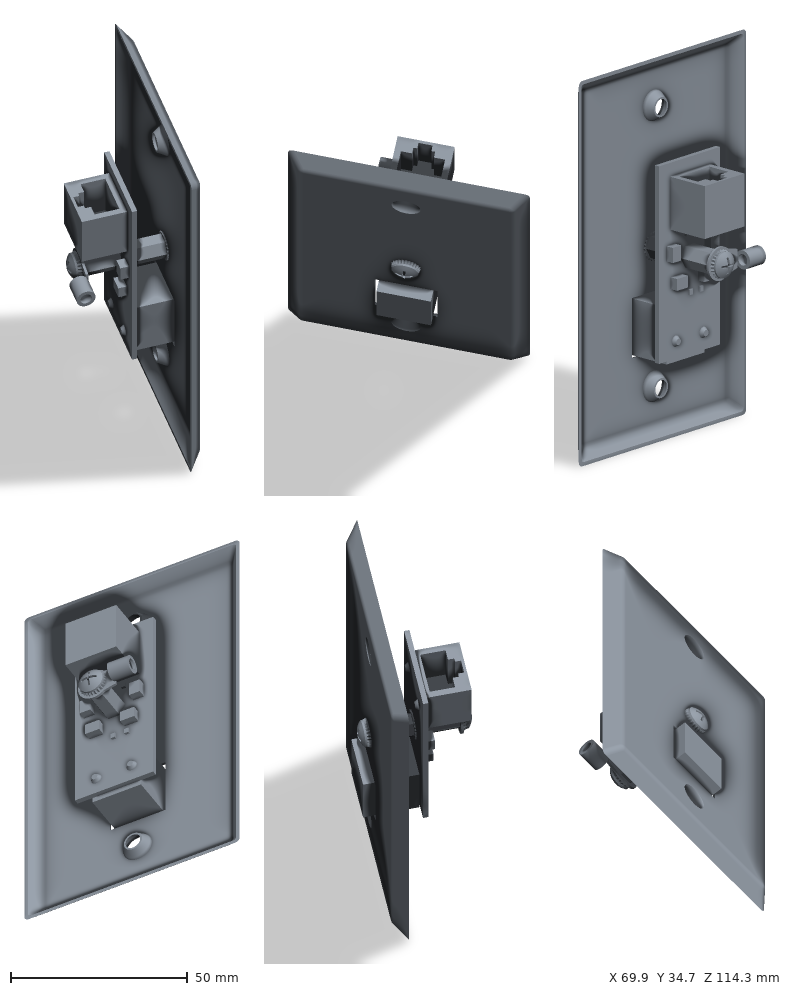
import cadquery as cq
import math


overall_depth = 34.71

plate_width = 69.86
plate_height = 114.3
plate_depth = 4.15
sheet = 0.8
bend_radius = 2.3
mount_spacing = 83.34
mount_hole_radius = 2.37
dimple_base_radius = 4.6
dimple_rim_radius = 2.95
dimple_height = 2.8
sink_mouth_radius = dimple_base_radius - sheet / 2

board_width = 25.4
board_height = 58.6
board_thickness = 1.55
board_rear_y = -13.05
board_front_y = board_rear_y - board_thickness
chip_short = 3.5
chip_long = 4.5
chip_height = 2.55
upper_chip_x = 8.0
upper_chip_z = 2.7
lower_chip_x = 5.68
lower_chip_z = -6.43
tiny_width = 1.3
tiny_length = 1.6
tiny_height = 0.75
tiny_places = [(-1.45, 7.05), (3.28, 7.05), (0.0, -10.7), (4.36, -10.7)]

front_jack_width = 16.5
front_jack_height = 15.7
front_jack_depth = 13.5
front_jack_z = 17.4
socket_depth = 12.5
socket_offset = 1.75
socket_steps = [(12.8, 7.35), (6.3, 1.8), (4.1, 1.75)]
rear_jack_width = 15.75
rear_jack_height = 16.8
rear_jack_z = -22.5
jack_opening_width = 18.1
jack_opening_margin = 0.6
peg_length = 1.1
peg_base_radius = 1.65
peg_tip_radius = 0.95
front_peg_x = 6.4
front_peg_z = 19.7
rear_peg_x = 5.75
rear_peg_z = -24.1

shank_radius = 1.75
shank_engagement = 5.0
thread_hole_depth = 7.0
head_radius = 3.9
head_height = 3.3
dome_height = 1.6
collar_thickness = 1.1
cross_length = 4.9
cross_width = 0.8
cross_depth = 1.4
tooth_count = 24
tooth_tip_radius = 4.35
tooth_root_radius = 3.9
washer_thickness = 0.45
hex_across_flats = 6.35
hex_across_corners = hex_across_flats / math.cos(math.pi / 6)
lug_y = -25.8
lug_thickness = 0.75
lug_ring_radius = 5.0
lug_neck_start_x = 3.2
lug_neck_start_half = 3.75
barrel_start_x = 7.05
barrel_end_x = 13.7
barrel_radius = (overall_depth - head_height + lug_y) / 2
barrel_bore_radius = 1.7


def box(width, depth, height, x, front_y, z):
    """Block centred on x and z whose -Y face is at front_y."""
    return cq.Workplane("XY").box(width, depth, height).translate((x, front_y + depth / 2, z))


def cylinder(radius, start_y, end_y, x=0.0, z=0.0):
    """Cylinder along Y from start_y toward the smaller end_y."""
    return cq.Workplane("XZ", origin=(x, start_y, z)).circle(radius).extrude(start_y - end_y)


def cone(start_radius, end_radius, start_y, end_y, x=0.0, z=0.0):
    """Truncated cone along Y."""
    profile = [(0, start_y), (start_radius, start_y), (end_radius, end_y), (0, end_y)]
    return cq.Workplane("XY").polyline(profile).close().revolve(360, (0, 0), (0, 1)).translate((x, 0, z))


def tray_block(width, height, front_y, rear_y, radius):
    """Frustum with 45 degree sides, rounded everywhere but at its wide front edge."""
    shrink = 2 * (rear_y - front_y)
    block = (
        cq.Workplane("XZ", origin=(0, front_y, 0))
        .rect(width, height)
        .workplane(offset=front_y - rear_y)
        .rect(width - shrink, height - shrink)
        .loft(ruled=True)
    )
    return block.edges("not(<Y)").fillet(radius)


def make_plate():
    lip = sheet * math.sqrt(2)
    plate = tray_block(plate_width, plate_height, -plate_depth, 0, bend_radius)
    plate = plate.cut(
        tray_block(
            plate_width - 2 * lip, plate_height - 2 * lip, -plate_depth, -sheet, bend_radius - sheet
        )
    )
    rim_y = -sheet - dimple_height
    for z in (-mount_spacing / 2, mount_spacing / 2):
        plate = plate.union(cone(dimple_base_radius, dimple_rim_radius, -sheet, rim_y, z=z))
        plate = plate.cut(cone(sink_mouth_radius, mount_hole_radius, 0, rim_y, z=z))
    opening_height = rear_jack_height + 2 * jack_opening_margin
    plate = plate.cut(box(jack_opening_width, sheet, opening_height, 0, -sheet, rear_jack_z))
    return plate.cut(cylinder(shank_radius, 0, -sheet))


def front_pegs():
    """Pegs of the front jack: through the board, with tapered tips behind it."""
    return [
        cylinder(peg_base_radius, board_rear_y, board_front_y, x, front_peg_z).union(
            cone(peg_tip_radius, peg_base_radius, board_rear_y + peg_length, board_rear_y, x, front_peg_z)
        )
        for x in (-front_peg_x, front_peg_x)
    ]


def rear_pegs():
    """Pegs of the rear jack: through the board, with tapered tips in front of it."""
    return [
        cylinder(peg_base_radius, board_rear_y, board_front_y, x, rear_peg_z).union(
            cone(peg_base_radius, peg_tip_radius, board_front_y, board_front_y - peg_length, x, rear_peg_z)
        )
        for x in (-rear_peg_x, rear_peg_x)
    ]


def make_board():
    board = box(board_width, board_thickness, board_height, 0, board_front_y, 0)
    chip_y = board_front_y - chip_height
    for side in (-1, 1):
        board = board.union(
            box(chip_short, chip_height, chip_long, side * upper_chip_x, chip_y, upper_chip_z)
        )
        board = board.union(
            box(chip_long, chip_height, chip_short, side * lower_chip_x, chip_y, lower_chip_z)
        )
    for x, z in tiny_places:
        board = board.union(box(tiny_width, tiny_height, tiny_length, x, board_front_y - tiny_height, z))
    for peg in front_pegs() + rear_pegs():
        board = board.cut(peg)
    return board.cut(hex_bar(board_rear_y, board_front_y))


def make_front_jack():
    """Jack in front of the board with a stepped plug socket opening upward."""
    jack = box(
        front_jack_width, front_jack_depth, front_jack_height,
        0, board_front_y - front_jack_depth, front_jack_z,
    )
    socket_z = front_jack_z + front_jack_height / 2 - socket_depth / 2
    step_y = board_front_y - socket_offset
    for width, depth in socket_steps:
        step_y -= depth
        jack = jack.cut(box(width, depth, socket_depth, 0, step_y, socket_z))
    for peg in front_pegs():
        jack = jack.union(peg)
    return jack


def make_rear_jack():
    """Jack behind the board that reaches out through the wall plate, flush with the rear screw head."""
    jack_depth = head_height - board_rear_y
    jack = box(rear_jack_width, jack_depth, rear_jack_height, 0, board_rear_y, rear_jack_z)
    for peg in rear_pegs():
        jack = jack.union(peg)
    return jack


def tooth_outline(outline, tip_radius, root_radius):
    """Add a closed ring of pointed teeth to a workplane."""
    points = []
    for i in range(2 * tooth_count):
        angle = math.pi * i / tooth_count
        radius = root_radius if i % 2 else tip_radius
        points.append((radius * math.cos(angle), radius * math.sin(angle)))
    return outline.polyline(points).close()


def toothed_collar():
    """Toothed collar under a screw head, tapering from the seat at y = 0 to the head's underside."""
    taper = tooth_tip_radius - head_radius
    collar = tooth_outline(
        cq.Workplane("XZ", origin=(0, collar_thickness, 0)), head_radius, tooth_root_radius - taper
    )
    collar = tooth_outline(collar.workplane(offset=collar_thickness), tooth_tip_radius, tooth_root_radius)
    return collar.loft(ruled=True)


def make_screw(seat_y, shank_length, direction):
    """Cross-recess screw; its head rises from seat_y along the given Y direction (+1 or -1)."""
    rim = head_height - dome_height
    dome_sphere_radius = (head_radius**2 + dome_height**2) / (2 * dome_height)
    half_angle = math.asin(head_radius / dome_sphere_radius) / 2
    arc_mid = (
        dome_sphere_radius * math.sin(half_angle),
        head_height - dome_sphere_radius * (1 - math.cos(half_angle)),
    )
    screw = (
        cq.Workplane("XY")
        .moveTo(0, -shank_length)
        .lineTo(shank_radius, -shank_length)
        .lineTo(shank_radius, collar_thickness)
        .lineTo(head_radius, collar_thickness)
        .lineTo(head_radius, rim)
        .threePointArc(arc_mid, (0, head_height))
        .close()
        .revolve(360, (0, 0), (0, 1))
    )
    screw = screw.union(toothed_collar())
    recess_y = head_height - cross_depth
    for width, height in ((cross_length, cross_width), (cross_width, cross_length)):
        screw = screw.cut(box(width, cross_depth, height, 0, recess_y, 0))
    if direction < 0:
        screw = screw.rotate((0, 0, 0), (0, 0, 1), 180)
    return screw.translate((0, seat_y, 0))


def hex_bar(start_y, end_y):
    """Hexagonal bar along Y with corners on +X and -X."""
    return (
        cq.Workplane("XZ", origin=(0, start_y, 0))
        .polygon(6, hex_across_corners)
        .extrude(start_y - end_y)
    )


def make_spacer():
    """Hex spacer from the plate through the board to the ring terminal, tapped at both ends."""
    spacer = hex_bar(-sheet, lug_y)
    for start_y, end_y in ((-sheet, -sheet - thread_hole_depth), (lug_y + thread_hole_depth, lug_y)):
        spacer = spacer.cut(cylinder(shank_radius, start_y, end_y))
    return spacer


def make_washer(rear_y):
    """Toothed lock washer that fits around the hex spacer."""
    front_y = rear_y - washer_thickness
    outline = tooth_outline(cq.Workplane("XZ", origin=(0, rear_y, 0)), tooth_tip_radius, tooth_root_radius)
    return outline.extrude(washer_thickness).cut(hex_bar(rear_y, front_y))


def make_terminal():
    """Ring terminal: ring, tapering neck and a wire barrel along X."""
    front_y = lug_y - lug_thickness
    barrel_y = lug_y - barrel_radius
    ring = cylinder(lug_ring_radius, lug_y, front_y)
    neck = (
        cq.Workplane("XZ", origin=(0, lug_y, 0))
        .polyline([
            (lug_neck_start_x, -lug_neck_start_half),
            (barrel_start_x, -barrel_radius),
            (barrel_start_x, barrel_radius),
            (lug_neck_start_x, lug_neck_start_half),
        ])
        .close()
        .extrude(lug_thickness)
    )
    barrel = (
        cq.Workplane("YZ", origin=(barrel_start_x, barrel_y, 0))
        .circle(barrel_radius)
        .circle(barrel_bore_radius)
        .extrude(barrel_end_x - barrel_start_x)
    )
    terminal = ring.union(neck).union(barrel)
    return terminal.cut(cylinder(shank_radius, lug_y, front_y))


plate = make_plate()
board = make_board()
front_jack = make_front_jack()
rear_jack = make_rear_jack()
spacer = make_spacer()
washers = [make_washer(rear_y) for rear_y in (-sheet, board_rear_y + washer_thickness)]
terminal = make_terminal()
rear_screw = make_screw(0, sheet + shank_engagement, 1)
front_screw = make_screw(lug_y - lug_thickness, lug_thickness + shank_engagement, -1)

result = cq.Compound.makeCompound([
    plate.val(), board.val(), front_jack.val(), rear_jack.val(), spacer.val(),
    *[washer.val() for washer in washers], terminal.val(), rear_screw.val(), front_screw.val(),
])